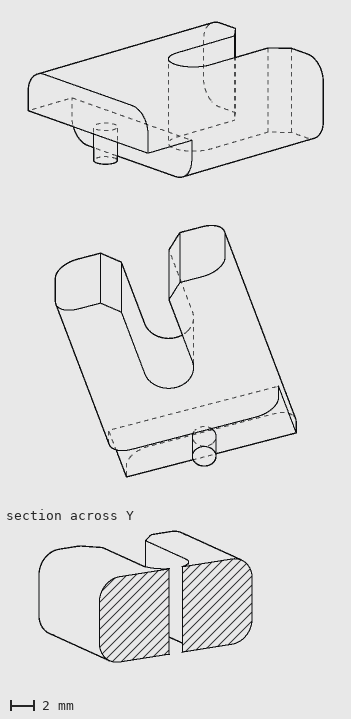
import cadquery as cq

width = 15.0
length = 20.0
height = 7.5
edge_radius = 2.0

step_length = 5.0
step_height = height / 2

pin_diameter = 2.0
pin_length = 3.0
pin_center_y = 2.0

slot_width = 4.2
slot_center_depth = 8.0
mouth_chamfer = 1.4


def make_body():
    """Bar centred on X, with its front face at Y = 0 and its bottom at Z = 0."""
    body = cq.Workplane("XY").box(width, length, height, centered=(True, False, False))
    return body.edges("|Y").fillet(edge_radius)


def make_step():
    """Block that removes the lower half of the front end."""
    return cq.Workplane("XY").box(width, step_length, step_height, centered=(True, False, False))


def make_slot():
    """Vertical through slot with a semicircular inner end and a flared mouth."""
    half_slot = slot_width / 2
    half_mouth = half_slot + mouth_chamfer
    arc_y = length - slot_center_depth
    chamfer_y = length - mouth_chamfer
    return (
        cq.Workplane("XY")
        .moveTo(-half_mouth, length)
        .lineTo(-half_slot, chamfer_y)
        .lineTo(-half_slot, arc_y)
        .threePointArc((0, arc_y - half_slot), (half_slot, arc_y))
        .lineTo(half_slot, chamfer_y)
        .lineTo(half_mouth, length)
        .close()
        .extrude(height)
    )


def make_pin():
    """Round pin pointing down from the step face."""
    return (
        cq.Workplane("XY", origin=(0, pin_center_y, step_height))
        .circle(pin_diameter / 2)
        .extrude(-pin_length)
    )


result = make_body().cut(make_step()).cut(make_slot()).union(make_pin())